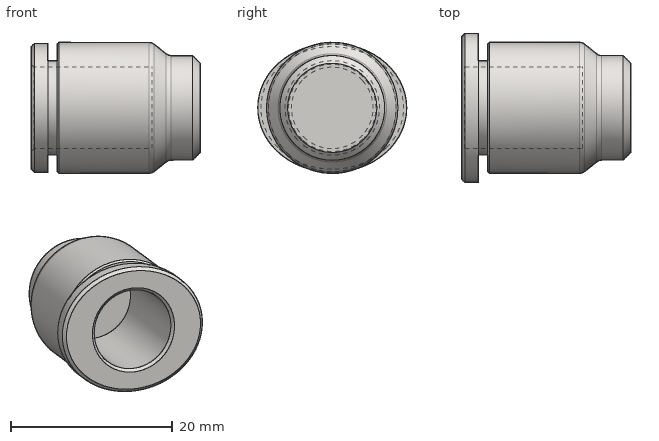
import cadquery as cq


COLLAR_WIDTH = 18.5
COLLAR_HEIGHT = 16.0
COLLAR_THICKNESS = 2.08
COLLAR_CHAMFER = 0.4

NECK_DIAMETER = 11.72

BODY_DIAMETER = 16.3
BODY_START = 3.23
BODY_CHAMFER = 0.23
SHOULDER_START = 14.97
SHOULDER_END = 17.03
SHOULDER_FILLET = 1.0

SPIGOT_DIAMETER = 13.0
SPIGOT_CHAMFER = 0.97
TOTAL_LENGTH = 21.0

BORE_DIAMETER = 10.12
BORE_DEPTH = 15.0
BORE_CHAMFER = 0.35


def make_collar():
    collar = (
        cq.Workplane("YZ")
        .ellipse(COLLAR_WIDTH / 2, COLLAR_HEIGHT / 2)
        .extrude(COLLAR_THICKNESS)
    )
    return collar.faces("<X").edges().chamfer(COLLAR_CHAMFER)


def make_neck():
    return cq.Workplane("YZ").circle(NECK_DIAMETER / 2).extrude(BODY_START)


def make_body():
    body_radius = BODY_DIAMETER / 2
    spigot_radius = SPIGOT_DIAMETER / 2
    body = (
        cq.Workplane("XY")
        .moveTo(BODY_START, 0)
        .lineTo(BODY_START, body_radius)
        .lineTo(SHOULDER_START, body_radius)
        .lineTo(SHOULDER_END, spigot_radius)
        .lineTo(TOTAL_LENGTH, spigot_radius)
        .lineTo(TOTAL_LENGTH, 0)
        .close()
        .revolve(360, (0, 0, 0), (1, 0, 0))
    )
    body = body.faces("<X").edges().chamfer(BODY_CHAMFER)
    body = body.faces(">X").edges().chamfer(SPIGOT_CHAMFER)
    shoulder_middle = ((SHOULDER_START + SHOULDER_END) / 2, 0, 0)
    shoulder = body.faces("%CONE").faces(cq.NearestToPointSelector(shoulder_middle))
    return shoulder.edges("%CIRCLE").fillet(SHOULDER_FILLET)


def cut_bore(part):
    bore = cq.Workplane("YZ").circle(BORE_DIAMETER / 2).extrude(BORE_DEPTH)
    part = part.cut(bore)
    return part.faces("<X").edges("%CIRCLE").chamfer(BORE_CHAMFER)


result = cut_bore(make_collar().union(make_neck()).union(make_body()))